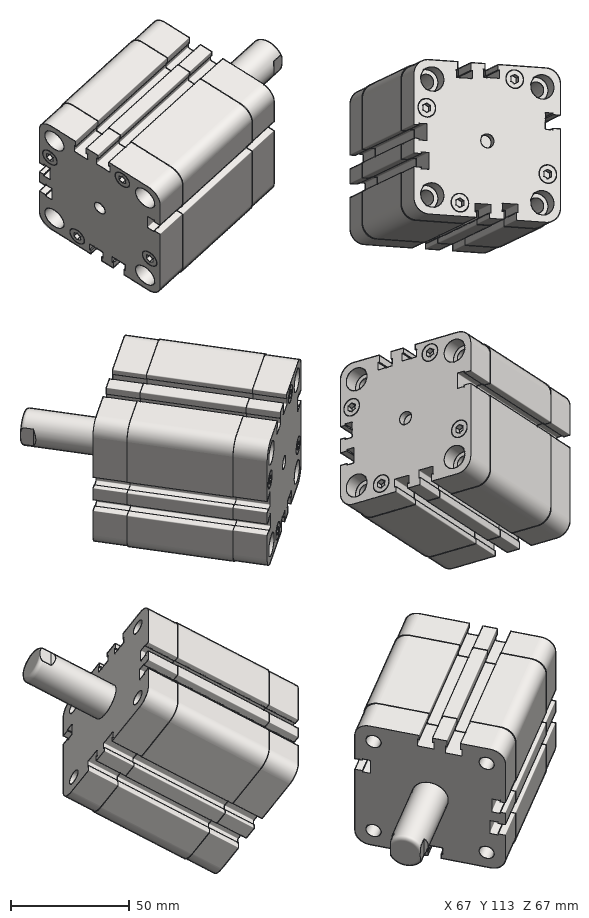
import cadquery as cq


total_length = 113.0
cap_length = 14.8
barrel_length = 46.0
housing_length = barrel_length + 2 * cap_length
rod_length = total_length - housing_length

rear_face = -total_length / 2
barrel_start = rear_face + cap_length
front_cap_start = barrel_start + barrel_length
front_face = rear_face + housing_length
rod_tip = total_length / 2

barrel_width = 67.0
cap_width = 66.6
corner_radius = 6.7

slot_neck_width = 5.6
slot_head_width = 7.0
barrel_lip_round = 0.5
cap_lip_round = 0.2
cap_slot_clearance = 0.1
slot_floor_round = 0.3
deep_slot_offset = -10.4
deep_slot_neck_depth = 3.4
deep_slot_depth = 6.9
shallow_slot_offset = 1.9
shallow_slot_neck_depth = 2.4
shallow_slot_depth = 6.0
plain_side = 3

mount_offset = 25.0
mount_hole_diameter = 6.7
mount_bore_diameter = 10.5
mount_bore_depth = 7.1

screw_side_offset = 12.4
screw_radial_offset = 27.5
screw_head_diameter = 7.8
screw_recess_diameter = 8.0
screw_gap_depth = 1.1
hex_across_corners = 4.1
hex_depth = 2.8

centre_hole_diameter = 6.0
centre_hole_depth = 3.4

rod_diameter = 16.0
rod_tip_round = 1.8
flat_width = 13.2
flat_length = 5.6


def axial_plane(y):
    """Sketch plane across the axis at y: local x is X, local y is Z, negative extrusions go to +Y."""
    return cq.Plane(origin=(0, y, 0), xDir=(1, 0, 0), normal=(0, -1, 0))


def rounded_block(width, start, length):
    block = cq.Workplane(axial_plane(start)).rect(width, width).extrude(-length)
    return block.edges("|Y").fillet(corner_radius)


def quarter_turn(shape, turns):
    """Rotate a shape about the axis from the top side toward -X by the given number of quarter turns."""
    return shape.rotate((0, 0, 0), (0, 1, 0), -90 * turns)


def t_slot(width, start, length, lip_round, clearance, offset, neck_depth, depth):
    """Cutter for one T-slot in the top side of a block of the given width."""
    surface = width / 2
    neck = slot_neck_width / 2 + clearance
    head = slot_head_width / 2 + clearance
    mouth = neck + lip_round
    floor = surface - depth
    ledge = surface - neck_depth
    profile = (
        cq.Workplane(axial_plane(start))
        .center(offset, 0)
        .moveTo(-mouth, surface)
        .radiusArc((-neck, surface - lip_round), lip_round)
        .lineTo(-neck, ledge)
        .lineTo(-head, ledge)
        .lineTo(-head, floor + slot_floor_round)
        .radiusArc((-head + slot_floor_round, floor), -slot_floor_round)
        .lineTo(head - slot_floor_round, floor)
        .radiusArc((head, floor + slot_floor_round), -slot_floor_round)
        .lineTo(head, ledge)
        .lineTo(neck, ledge)
        .lineTo(neck, surface - lip_round)
        .radiusArc((mouth, surface), lip_round)
        .close()
    )
    return profile.extrude(-length)


def housing_section(width, start, length, lip_round, clearance):
    """One length of the housing with its T-slots cut through."""
    section = rounded_block(width, start, length)
    deep_slot = t_slot(
        width, start, length, lip_round, clearance,
        deep_slot_offset, deep_slot_neck_depth, deep_slot_depth,
    )
    shallow_slot = t_slot(
        width, start, length, lip_round, clearance,
        shallow_slot_offset, shallow_slot_neck_depth, shallow_slot_depth,
    )
    for turns in range(4):
        section = section.cut(quarter_turn(deep_slot, turns))
        if turns != plain_side:
            section = section.cut(quarter_turn(shallow_slot, turns))
    return section


def corner_holes(diameter, start, length):
    spacing = 2 * mount_offset
    pattern = cq.Workplane(axial_plane(start)).rect(spacing, spacing, forConstruction=True)
    return pattern.vertices().circle(diameter / 2).extrude(-length)


def screw_relief(turns):
    """Ring gap around one screw head and its hexagon socket, with two socket corners along Z."""
    x, z = screw_side_offset, screw_radial_offset
    for _ in range(turns):
        x, z = -z, x
    seat = cq.Workplane(axial_plane(rear_face)).center(x, z)
    gap = seat.circle(screw_recess_diameter / 2).circle(screw_head_diameter / 2).extrude(-screw_gap_depth)
    socket = seat.transformed(rotate=(0, 0, 90)).polygon(6, hex_across_corners).extrude(-hex_depth)
    return gap.union(socket)


def piston_rod():
    rod = cq.Workplane(axial_plane(front_face)).circle(rod_diameter / 2).extrude(-rod_length)
    rod = rod.faces(">Y").fillet(rod_tip_round)
    flat = flat_width / 2
    radius = rod_diameter / 2
    flat_start = rod_tip - flat_length
    slope_start = flat_start - (radius - flat)
    cutter = (
        cq.Workplane("XY", origin=(0, 0, -radius))
        .moveTo(flat, rod_tip)
        .lineTo(flat, flat_start)
        .lineTo(radius, slope_start)
        .lineTo(radius, rod_tip)
        .close()
        .extrude(rod_diameter)
    )
    return rod.cut(cutter).cut(cutter.mirror("YZ"))


rear_cap = housing_section(cap_width, rear_face, cap_length, cap_lip_round, cap_slot_clearance)
barrel = housing_section(barrel_width, barrel_start, barrel_length, barrel_lip_round, clearance=0)
front_cap = housing_section(cap_width, front_cap_start, cap_length, cap_lip_round, cap_slot_clearance)
result = rear_cap.union(barrel).union(front_cap).union(piston_rod())

result = result.cut(corner_holes(mount_hole_diameter, rear_face, housing_length))
result = result.cut(corner_holes(mount_bore_diameter, rear_face, mount_bore_depth))

for turns in range(4):
    result = result.cut(screw_relief(turns))

centre_hole = cq.Workplane(axial_plane(rear_face)).circle(centre_hole_diameter / 2)
result = result.cut(centre_hole.extrude(-centre_hole_depth))